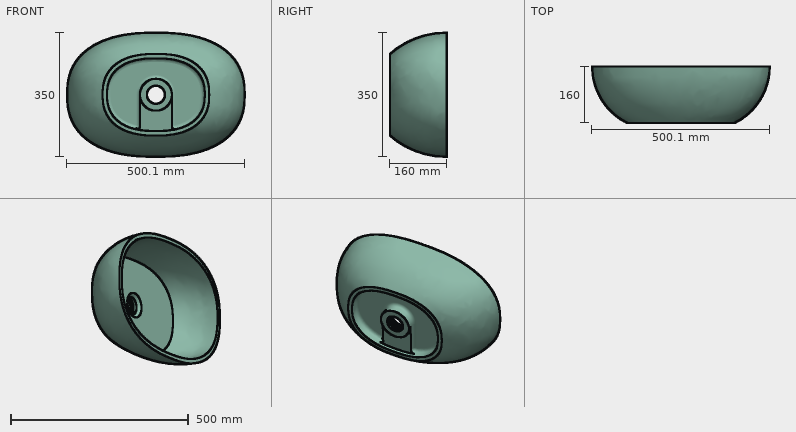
import cadquery as cq
import math

depth = 160.0
rim_half_width = 250.0
rim_half_height = 175.0
foot_half_width = 150.0
foot_half_height = 115.0
oval_exponent = 2.4
wall = 12.5
bowl_floor = 40.0

foot_ring_width = 12.5
recess_depth = 28.5
recess_draft = 1.5
recess_fillet = 10.0
corner_fillet = 7.5

boss_radius = 45.0
arm_setback_at_boss = 9.0
arm_setback_at_wall = 13.5

bore_radius = 25.0
groove_radius = 30.0
groove_start = 10.0
groove_width = 10.0
funnel_start = 30.0
funnel_radius = 35.0

section_count = 7
points_per_quadrant = 10


def oval(half_width, half_height, y):
    """Closed superellipse wire lying in the plane at height y along the Y axis."""
    power = 2 / oval_exponent
    points = []
    for i in range(4 * points_per_quadrant):
        angle = math.pi / 2 * i / points_per_quadrant
        c = math.cos(angle)
        s = math.sin(angle)
        x = half_width * math.copysign(abs(c) ** power, c)
        z = half_height * math.copysign(abs(s) ** power, s)
        points.append(cq.Vector(x, y, z))
    return cq.Wire.assembleEdges([cq.Edge.makeSpline(points, periodic=True)])


def arc_half_size(rim_size, foot_size, y):
    """Half size at y on an arc that leaves the rim parallel to Y and ends at the foot."""
    inset = rim_size - foot_size
    radius = (depth**2 + inset**2) / (2 * inset)
    return rim_size - radius + math.sqrt(radius**2 - (depth - y) ** 2)


def bowl_body(start, offset):
    """Rounded bowl from y = start to the rim, drawn in by offset all round."""
    sections = []
    for i in range(section_count):
        y = start + (depth - start) * i / (section_count - 1)
        half_width = arc_half_size(rim_half_width, foot_half_width, y) - offset
        half_height = arc_half_size(rim_half_height, foot_half_height, y) - offset
        sections.append(oval(half_width, half_height, y))
    return cq.Workplane(obj=cq.Solid.makeLoft(sections))


def cylinder(radius, start, end):
    return cq.Workplane(
        obj=cq.Solid.makeCylinder(radius, end - start, cq.Vector(0, start, 0), cq.Vector(0, 1, 0))
    )


def foot_recess():
    """Drafted oval recess, with the drain boss and its arm left standing in it."""
    half_width = foot_half_width - foot_ring_width
    half_height = foot_half_height - foot_ring_width
    mouth = oval(half_width, half_height, 0)
    floor = oval(half_width - recess_draft, half_height - recess_draft, recess_depth)
    recess = cq.Workplane(obj=cq.Solid.makeLoft([mouth, floor], True))

    boss = cylinder(boss_radius, 0, recess_depth)
    arm_profile = [
        (recess_depth, 0),
        (arm_setback_at_boss, 0),
        (arm_setback_at_wall, -foot_half_height),
        (recess_depth, -foot_half_height),
    ]
    arm = cq.Workplane("YZ").polyline(arm_profile).close().extrude(boss_radius, both=True)
    recess = recess.cut(boss).cut(arm)
    upright_length = recess_depth - arm_setback_at_wall
    arm_corners = [
        edge for edge in recess.edges().vals()
        if edge.Center().z < -boss_radius
        and abs(abs(edge.Center().x) - boss_radius) < recess_draft
        and edge.BoundingBox().ylen > upright_length
    ]
    recess = recess.newObject(arm_corners).fillet(corner_fillet)
    return recess.faces(">Y").edges().fillet(recess_fillet)


def drain():
    """Bore with an overflow groove, widening to a funnel at the bowl floor."""
    bore = cylinder(bore_radius, 0, bowl_floor)
    groove = cylinder(groove_radius, groove_start, groove_start + groove_width)
    funnel = cq.Workplane(obj=cq.Solid.makeCone(
        bore_radius,
        funnel_radius,
        bowl_floor - funnel_start,
        cq.Vector(0, funnel_start, 0),
        cq.Vector(0, 1, 0),
    ))
    return bore.union(groove).union(funnel)


outer = bowl_body(0, 0)
cavity = bowl_body(bowl_floor, wall)
result = outer.cut(cavity).cut(foot_recess()).cut(drain())